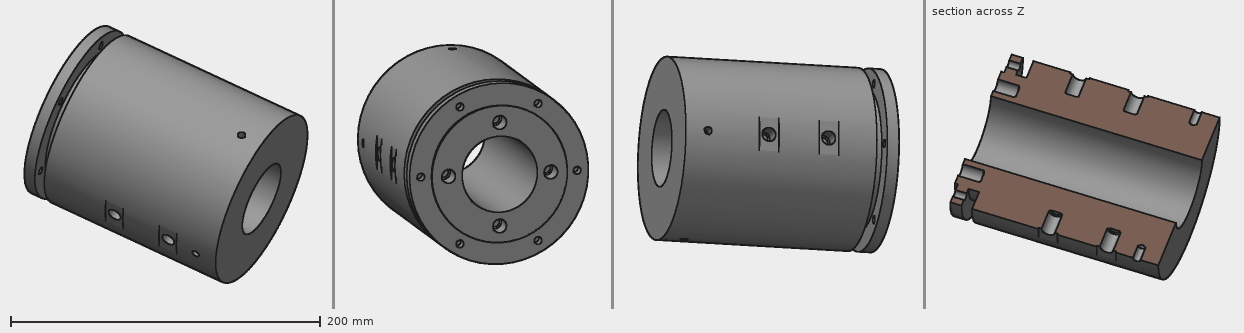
import cadquery as cq
import math

total_length = 145.0
spigot_length = 2.0
flange_length = 8.0
neck_length = 7.0

outer_diameter = 119.0
spigot_diameter = 90.0
neck_diameter = 92.0
bore_diameter = 50.0

port_diameter = 9.0
port_bottom_diameter = 6.7
port_depth = 14.5
face_port_circle_diameter = 68.0
face_port_count = 4

drill_point_angle = 118.0

flange_hole_diameter = 5.0
flange_hole_circle_diameter = 104.0
flange_hole_count = 6

radial_hole_diameter = 5.0
radial_hole_depth = 10.0
radial_hole_position = 130.0
radial_hole_count = 4

flat_width = 13.0
flat_depth = 1.0
port_spacing = 40.0
front_port_position = 69.0
port_stagger = port_spacing / 2

outer_radius = outer_diameter / 2
flange_start = spigot_length
neck_start = flange_start + flange_length
body_start = neck_start + neck_length


def cylinder(diameter, start, length):
    """Solid cylinder about the X axis."""
    return cq.Workplane("YZ", origin=(start, 0, 0)).circle(diameter / 2).extrude(length)


def drilled_hole(diameter, bottom_diameter, depth, mouth, direction):
    """Cutter for a blind hole of the given straight depth, ending in a drill cone."""
    radius = diameter / 2
    bottom_radius = bottom_diameter / 2
    cone_length = (radius - bottom_radius) / math.tan(math.radians(drill_point_angle / 2))
    hole = cq.Solid.makeCylinder(radius, depth, mouth, direction)
    cone = cq.Solid.makeCone(radius, bottom_radius, cone_length, mouth + direction * depth, direction)
    return cq.Workplane(hole.fuse(cone))


def port_hole(mouth, direction):
    """Cutter for one port hole."""
    return drilled_hole(port_diameter, port_bottom_diameter, port_depth, mouth, direction)


def radial_hole(mouth, direction):
    """Cutter for one radial hole, ending in a full drill point."""
    return drilled_hole(radial_hole_diameter, 0, radial_hole_depth, mouth, direction)


def radial_direction(index, count):
    """Unit vector across the X axis, with index 0 along +Y."""
    angle = 2 * math.pi * index / count
    return cq.Vector(0, math.cos(angle), math.sin(angle))


barrel = cylinder(spigot_diameter, 0, spigot_length)
barrel = barrel.union(cylinder(outer_diameter, flange_start, flange_length))
barrel = barrel.union(cylinder(neck_diameter, neck_start, neck_length))
barrel = barrel.union(cylinder(outer_diameter, body_start, total_length - body_start))
barrel = barrel.cut(cylinder(bore_diameter, 0, total_length))

along_axis = cq.Vector(1, 0, 0)
for index in range(face_port_count):
    mouth = radial_direction(index, face_port_count) * (face_port_circle_diameter / 2)
    barrel = barrel.cut(port_hole(mouth, along_axis))

for index in range(flange_hole_count):
    center = radial_direction(index, flange_hole_count) * (flange_hole_circle_diameter / 2)
    hole = cylinder(flange_hole_diameter, flange_start, flange_length).translate(center)
    barrel = barrel.cut(hole)

for index in range(radial_hole_count):
    outward = radial_direction(index, radial_hole_count)
    mouth = cq.Vector(radial_hole_position, 0, 0) + outward * outer_radius
    barrel = barrel.cut(radial_hole(mouth, outward * -1))

for side, first_position in ((-1, front_port_position), (1, front_port_position - port_stagger)):
    for position in (first_position, first_position + port_spacing):
        flat = cq.Workplane("XY").box(flat_width, 2 * flat_depth, outer_diameter)
        barrel = barrel.cut(flat.translate((position, side * outer_radius, 0)))
        mouth = cq.Vector(position, side * (outer_radius - flat_depth), 0)
        barrel = barrel.cut(port_hole(mouth, cq.Vector(0, -side, 0)))

result = barrel